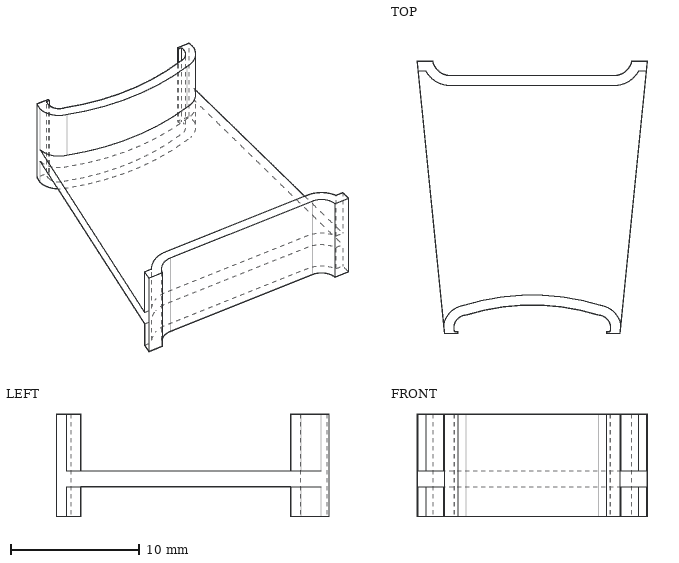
import cadquery as cq
import math

length = 21.3
height = 8.0
back_width = 18.0
front_width = 13.72

plate_bottom = 2.32
plate_thickness = 1.25

wall = 0.79

back_recess = 1.13
flare_center_x = 6.4
flare_radius = 1.4
flare_center_y = length - back_recess + flare_radius

crown_radius = 17.38
crown_half_width = 5.18
crown_height = 2.24
corner_center_x = 5.15
corner_center_y = 0.47
corner_radius = 0.95
corner_mid_angle = math.radians(145)
foot_height = 0.64
lip_height = 0.17
lip_half_gap = 5.81


def side_x(y):
    """Half width of the tapered envelope at a given y."""
    return front_width / 2 + (back_width - front_width) / 2 * y / length


def corner_point(radius, angle):
    """Point on the left front corner curve."""
    return (
        -corner_center_x + radius * math.cos(angle),
        corner_center_y + radius * math.sin(angle),
    )


def mirrored(point):
    return (-point[0], point[1])


def crown_end(offset):
    """Left end of the crown arc, moved outward by offset."""
    angle = math.asin(crown_half_width / crown_radius)
    radius = crown_radius + offset
    center_y = crown_height - crown_radius
    return (-radius * math.sin(angle), center_y + radius * math.cos(angle))


def front_region(offset, start):
    """Area under the crown and corner curves; start is the lower left curve end."""
    corner_mid = corner_point(corner_radius + offset, corner_mid_angle)
    end = crown_end(offset)
    return (
        cq.Workplane("XY")
        .moveTo(start[0], 0)
        .lineTo(*start)
        .threePointArc(corner_mid, end)
        .threePointArc((0, crown_height + offset), mirrored(end))
        .threePointArc(mirrored(corner_mid), mirrored(start))
        .lineTo(-start[0], 0)
        .close()
        .extrude(height)
    )


def front_opening():
    """Hollow of the front wall, narrowed at its mouth by the lips."""
    lip_angle = math.pi + math.asin((corner_center_y - lip_height) / corner_radius)
    curve_start = corner_point(corner_radius, lip_angle)
    hollow = front_region(0, curve_start)
    mouth_band = cq.Workplane("XY").box(front_width, lip_height, height, centered=(True, False, False))
    mouth = cq.Workplane("XY").box(2 * lip_half_gap, lip_height, height, centered=(True, False, False))
    return hollow.cut(mouth_band).union(mouth)


def back_region(offset):
    """Area behind the back wall's curve, moved toward the front by offset."""
    depth = back_recess + offset
    middle = cq.Workplane("XY").box(2 * flare_center_x, depth, height, centered=(True, False, False))
    region = middle.translate((0, length - depth, 0))
    for x in (-flare_center_x, flare_center_x):
        flare = cq.Workplane("XY").center(x, flare_center_y).circle(flare_radius + offset).extrude(height)
        region = region.union(flare)
    return region


def envelope(bottom, thickness):
    """Tapered slab filling the full outline."""
    corners = [
        (-side_x(0), 0),
        (side_x(0), 0),
        (side_x(length), length),
        (-side_x(length), length),
    ]
    return cq.Workplane("XY").workplane(offset=bottom).polyline(corners).close().extrude(thickness)


back_tips = cq.Workplane("XY").box(back_width, wall, height, centered=(True, False, False))
back_wall = back_region(wall).union(back_tips.translate((0, length - wall, 0)))
front_wall = front_region(wall, (-side_x(foot_height), foot_height))

plate = envelope(plate_bottom, plate_thickness)
walls = front_wall.union(back_wall).intersect(envelope(0, height))

result = plate.union(walls).cut(front_opening()).cut(back_region(0))